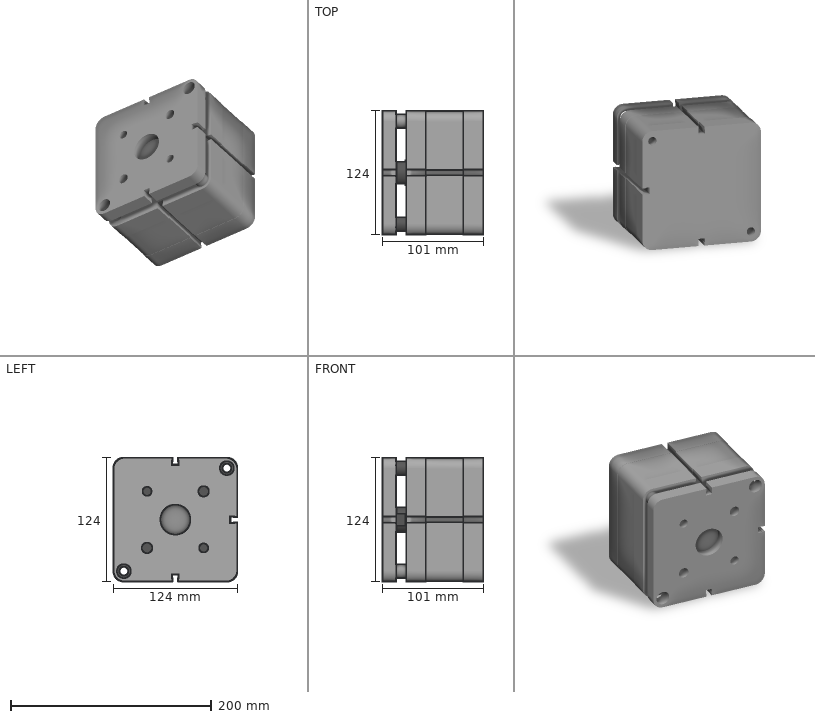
import cadquery as cq
import math

plate_thickness = 13.7
gap = 10.0
cover_thickness = 19.9
total_length = 101.0
plate_back = plate_thickness
front_cover_start = plate_back + gap
tube_start = front_cover_start + cover_thickness
rear_cover_start = total_length - cover_thickness
tube_length = rear_cover_start - tube_start

block_width = 124.0
corner_radius = 10.5
tube_inset = 0.25
tube_width = block_width - 2 * tube_inset

mouth_width = 6.0
mouth_depth = 3.2
floor_width = 7.0
slot_depth = 7.5
tube_mouth_width = 5.0
tube_floor_width = 6.0
tube_slot_depth = 6.5
slot_angles = (0, 90, 180)

corner_offset = 51.5
post_diameter = 14.0
screw_hole_diameter = 8.6
screw_access_diameter = post_diameter
post_corners = [(corner_offset, corner_offset), (-corner_offset, -corner_offset)]
screw_corners = [(-corner_offset, corner_offset), (corner_offset, -corner_offset)]

bore_diameter = 30.0
bore_depth = 10.0
hole_circle_diameter = 80.0
hole_offset = hole_circle_diameter / 2 * math.sqrt(0.5)
small_hole_diameter = 9.0
large_hole_diameter = 10.5

rod_diameter = 25.0
rod_chamfer = 0.6
flat_width = 22.0
flat_length = 9.0


def section_at(x):
    """Workplane across the axis: local x is +Y, local y is +Z, normal is +X."""
    return cq.Workplane("YZ", origin=(x, 0, 0))


def cylinders(x, length, diameter, centres):
    return section_at(x).pushPoints(centres).circle(diameter / 2).extrude(length)


def slotted_block(x, length, width, mouth, floor, depth):
    """Rounded square block with a T-slot along the top, -Y and bottom faces."""
    block = section_at(x).rect(width, width).extrude(length).edges("|X").fillet(corner_radius)
    face = width / 2
    mouth_cut = section_at(x).center(0, face - depth / 2).rect(mouth, depth).extrude(length)
    floor_height = depth - mouth_depth
    floor_cut = (
        section_at(x)
        .center(0, face - depth + floor_height / 2)
        .rect(floor, floor_height)
        .extrude(length)
    )
    slot = mouth_cut.union(floor_cut)
    for angle in slot_angles:
        block = block.cut(slot.rotate((0, 0, 0), (1, 0, 0), angle))
    return block


def make_yoke_plate():
    plate = slotted_block(0, plate_thickness, block_width, mouth_width, floor_width, slot_depth)
    small_holes = [(hole_offset, hole_offset), (-hole_offset, -hole_offset)]
    large_holes = [(-hole_offset, hole_offset), (hole_offset, -hole_offset)]
    plate = plate.cut(cylinders(0, bore_depth, bore_diameter, [(0, 0)]))
    plate = plate.cut(cylinders(0, plate_thickness, small_hole_diameter, small_holes))
    plate = plate.cut(cylinders(0, plate_thickness, large_hole_diameter, large_holes))
    plate = plate.cut(cylinders(0, plate_thickness, screw_access_diameter, screw_corners))
    return plate.union(cylinders(plate_back, gap + cover_thickness, post_diameter, post_corners))


def make_cover(x):
    cover = slotted_block(x, cover_thickness, block_width, mouth_width, floor_width, slot_depth)
    return cover.cut(cylinders(x, cover_thickness, screw_hole_diameter, screw_corners))


def make_front_cover():
    cover = make_cover(front_cover_start)
    cover = cover.cut(cylinders(front_cover_start, cover_thickness, post_diameter, post_corners))
    return cover.cut(cylinders(front_cover_start, cover_thickness, rod_diameter, [(0, 0)]))


def make_tube():
    tube = slotted_block(
        tube_start, tube_length, tube_width, tube_mouth_width, tube_floor_width, tube_slot_depth
    )
    return tube.cut(cylinders(tube_start, tube_length, screw_hole_diameter, screw_corners))


def make_piston_rod():
    rod_length = gap + cover_thickness
    rod = cylinders(plate_back, rod_length, rod_diameter, [(0, 0)])
    rod = rod.faces("<X").chamfer(rod_chamfer)
    flat_depth = (rod_diameter - flat_width) / 2
    for side in (-1, 1):
        flat_cut = (
            section_at(plate_back)
            .center(side * (flat_width + flat_depth) / 2, 0)
            .rect(flat_depth, rod_diameter)
            .extrude(flat_length)
        )
        rod = rod.cut(flat_cut)
    return rod


yoke_plate = make_yoke_plate()
front_cover = make_front_cover()
tube = make_tube()
rear_cover = make_cover(rear_cover_start)
piston_rod = make_piston_rod()

result = cq.Compound.makeCompound(
    [yoke_plate.val(), front_cover.val(), tube.val(), rear_cover.val(), piston_rod.val()]
)